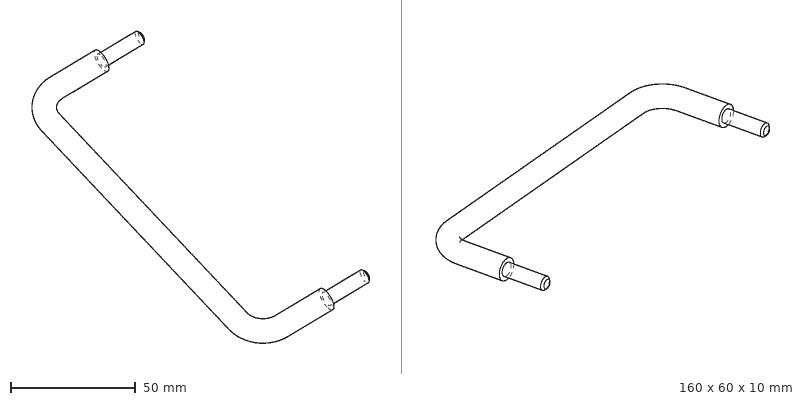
import cadquery as cq

overall_length = 160.0
overall_depth = 60.0

bar_diameter = 10.0
bend_radius = 12.5

stud_diameter = 6.0
stud_length = 20.0
stud_chamfer = 1.0

leg_x = (overall_length - bar_diameter) / 2
grip_y = stud_length - overall_depth + bar_diameter / 2


def bent_bar():
    """Sweep the round bar along one leg, the grip and the other leg."""
    bend_start_y = grip_y + bend_radius
    grip_end_x = leg_x - bend_radius
    centreline = (
        cq.Workplane("XY")
        .moveTo(-leg_x, 0)
        .lineTo(-leg_x, bend_start_y)
        .radiusArc((-grip_end_x, grip_y), -bend_radius)
        .lineTo(grip_end_x, grip_y)
        .radiusArc((leg_x, bend_start_y), -bend_radius)
        .lineTo(leg_x, 0)
    )
    section = cq.Workplane("XZ", origin=(-leg_x, 0, 0)).circle(bar_diameter / 2)
    return section.sweep(centreline)


def stud(x):
    """Make a stud rising from the shoulder at x, with a chamfered tip."""
    return (
        cq.Workplane("XZ", origin=(x, 0, 0))
        .circle(stud_diameter / 2)
        .extrude(-stud_length)
        .faces(">Y")
        .chamfer(stud_chamfer)
    )


result = bent_bar()
for stud_x in (-leg_x, leg_x):
    result = result.union(stud(stud_x))